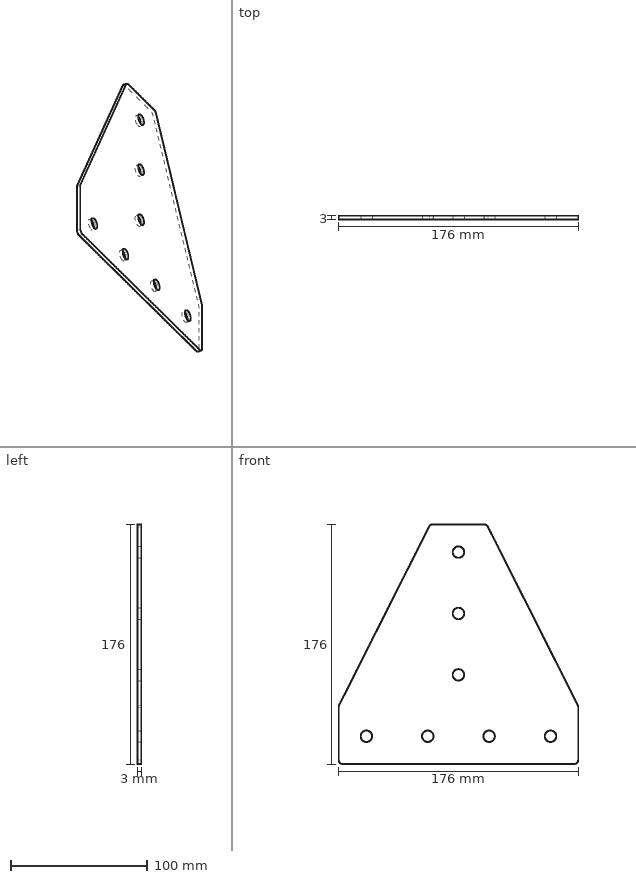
import cadquery as cq

side = 176.0
thickness = 3.0
top_width = 41.5
shoulder_height = 42.6
corner_radius = 3.0

hole_diameter = 8.3
hole_pitch = 45.0
holes_per_line = 4
edge_margin = (side - (holes_per_line - 1) * hole_pitch) / 2

half_side = side / 2
half_thickness = thickness / 2
half_top = top_width / 2


def plate_blank():
    """Tapered plate standing in the XZ plane, centred on the origin."""
    shoulder_z = shoulder_height - half_side
    outline = [
        (-half_side, -half_side),
        (half_side, -half_side),
        (half_side, shoulder_z),
        (half_top, half_side),
        (-half_top, half_side),
        (-half_side, shoulder_z),
    ]
    blank = cq.Workplane("XZ").polyline(outline).close().extrude(half_thickness, both=True)
    return blank.edges("|Y").fillet(corner_radius)


def hole_centers():
    """Base row, then the column whose lowest place is left solid."""
    first = edge_margin - half_side
    steps = [first + i * hole_pitch for i in range(holes_per_line)]
    base_row = [(x, first) for x in steps]
    centre_column = [(0, z) for z in steps[1:]]
    return base_row + centre_column


holes = (
    cq.Workplane("XZ")
    .pushPoints(hole_centers())
    .circle(hole_diameter / 2)
    .extrude(thickness, both=True)
)

result = plate_blank().cut(holes)